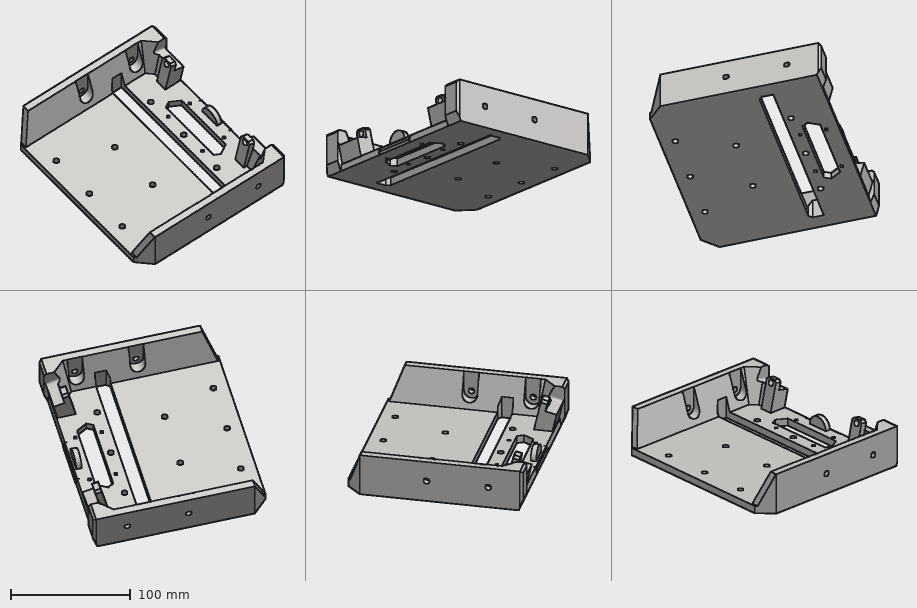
import cadquery as cq
import math

length = 177.8
width = 152.2
height = 36.6
floor_top = 6.8
draft = 20.0
draft_slope = math.tan(math.radians(draft))
front_corner = 12.8
back_corner = 2.1
front_ledge = 1.8
back_slant_height = 8.9

cavity_half_length = 71.3
cavity_back = 134.6
cavity_corner = 5.9

hinge_tilt = 13.0
lug_front = 131.2
lug_spacing = 94.2
lug_length = 11.5
lug_height = 28.8
lug_thickness = 5.5
lug_chamfer = 2.1
lug_hole_diameter = 5.5
lug_hole_height = 24.9
lug_root = 2.7
ledge_height = 20.0
ledge_half_length = 72.0
ledge_fillet = 2.1
hinge_depth = 15.5

strip_back = 148.0
tab_half_length = 20.1
tab_edge_front = 146.2
tab_bend = (149.0, 5.2)
tab_tip = (149.9, 2.3)

disc_radius = 10.0
disc_thickness = 4.8

slot_half_length = 76.0
slot_front = 94.6
slot_back = 107.2
slot_corner = 2.8
window_front = 120.0
window_back = 134.8
window_tip = 35.2
window_tip_y = 125.3
window_end_angle = 30.0

screw_diameter = 5.0
small_diameter = 2.7
screw_points = [(x, y) for x in (-44.5, 0, 44.5) for y in (13.0, 113.6)]
screw_points += [(x, 60.3) for x in (-25.5, 25.5)]
small_points = [(x, y) for x in (-23.1, 23.1) for y in (115.4, 138.2)]

side_screw_y = (69.9, 122.9)
side_screw_height = 18.7
pocket_diameter = 13.0
pocket_face = 82.3

margin = 17.8

hinge_lean = math.radians(hinge_tilt)
lean_sin = math.sin(hinge_lean)
lean_cos = math.cos(hinge_lean)
hinge_origin = (0, lug_front, floor_top)
hinge_plane = cq.Plane(hinge_origin, (1, 0, 0), (0, lean_sin, lean_cos))
hinge_face_plane = cq.Plane(hinge_origin, (1, 0, 0), (0, -lean_cos, lean_sin))

edge_front = lug_front + hinge_depth / lean_cos
back_bottom = width - back_slant_height * draft_slope


def along_x(outline, start, end):
    """Extrude a closed (Y, Z) outline from one X position to another."""
    return cq.Workplane("YZ", origin=(start, 0, 0)).polyline(outline).close().extrude(end - start)


def make_block():
    """Outer shape: plan outline with cut corners, trimmed to the side profile."""
    half = length / 2
    plan = [
        (-half + front_corner, 0), (half - front_corner, 0), (half, front_corner),
        (half, width - back_corner), (half - back_corner, width),
        (-half + back_corner, width), (-half, width - back_corner), (-half, front_corner),
    ]
    wall_front_top = front_ledge + (height - floor_top) * draft_slope
    profile = [
        (0, 0), (0, floor_top), (front_ledge, floor_top), (wall_front_top, height),
        (width - back_corner, height), (width, height - back_corner),
        (width, back_slant_height), (back_bottom, 0),
    ]
    block = cq.Workplane("XY").polyline(plan).close().extrude(height)
    return block.intersect(along_x(profile, -half, half))


def cavity_outline(spread):
    """Cavity outline with every wall moved outward by the given distance."""
    x = cavity_half_length + spread
    back = cavity_back + spread
    corner = cavity_corner + (2 - math.sqrt(2)) * spread
    return [
        (-x, -margin), (x, -margin), (x, back - corner), (x - corner, back),
        (corner - x, back), (-x, back - corner),
    ]


def make_cavity():
    """Drafted space between the walls, open at the front."""
    rise = height - floor_top
    return (
        cq.Workplane("XY", origin=(0, 0, floor_top))
        .polyline(cavity_outline(0)).close()
        .workplane(offset=rise)
        .polyline(cavity_outline(rise * draft_slope)).close()
        .loft(ruled=True)
    )


def make_ledge_cut():
    """Opening above the tilted ledge of the back wall, rounded where it meets the side walls."""
    section = (
        cq.Sketch()
        .rect(2 * ledge_half_length, 2 * height)
        .vertices().fillet(ledge_fillet)
    )
    return (
        cq.Workplane(hinge_face_plane).workplane(offset=-hinge_depth - margin)
        .center(0, ledge_height + height)
        .placeSketch(section).extrude(2 * margin)
    )


def make_gap():
    """Gap in the back wall between the inner sides of the lugs, down to the floor."""
    return (
        cq.Workplane("XY", origin=(0, lug_front, floor_top))
        .rect(lug_spacing, 4 * margin).extrude(height)
    )


def recess_outline(strip_front, steep_face):
    """Recess outline around the rear edge of the floor, whose tilted strip begins at strip_front."""
    lean = math.tan(hinge_lean)
    strip_end = (strip_back, floor_top - (strip_back - strip_front) * lean)
    face_top = strip_front + (height - floor_top) * lean
    outside = width + margin
    behind = [(back_bottom, 0), (back_bottom, -margin), (outside, -margin), (outside, height)]
    return [(face_top, height), (strip_front, floor_top), strip_end] + steep_face + behind


def make_recess():
    """Tilted recess behind the hinges, leaving a wider edge in the middle of the floor."""
    side = recess_outline(edge_front, [])
    middle = recess_outline(tab_edge_front, [tab_bend, tab_tip])
    recess = along_x(middle, -tab_half_length, tab_half_length)
    recess = recess.union(along_x(side, -ledge_half_length, -tab_half_length))
    return recess.union(along_x(side, tab_half_length, ledge_half_length))


def make_lug(x):
    """Leaning hinge lug: a foot under the ledge and a bored upright with cut corners."""
    root = cq.Workplane(hinge_plane).workplane(offset=-lug_root).center(x, 0)
    foot = (
        root.center(0, hinge_depth / 2)
        .rect(lug_length, hinge_depth).extrude(lug_root + ledge_height)
    )
    half = lug_length / 2
    shoulder = lug_height - lug_chamfer
    upright_outline = [
        (-half, 0), (half, 0), (half, shoulder), (half - lug_chamfer, lug_height),
        (lug_chamfer - half, lug_height), (-half, shoulder),
    ]
    face = cq.Workplane(hinge_face_plane).center(x, 0)
    upright = face.polyline(upright_outline).close().extrude(-lug_thickness)
    bore = face.center(0, lug_hole_height).circle(lug_hole_diameter / 2).extrude(-hinge_depth)
    return foot.union(upright).cut(bore)


def make_disc():
    """Half disc standing on the floor at the rear edge."""
    disc = (
        cq.Workplane("XZ", origin=(0, tab_edge_front, 0)).center(0, floor_top)
        .moveTo(-disc_radius, 0).threePointArc((0, disc_radius), (disc_radius, 0)).close()
    )
    return disc.extrude(disc_thickness)


def make_floor_slot():
    """Cross slot through the floor that also bites into the foot of the side walls."""
    x = slot_half_length
    outline = [
        (-x, slot_back), (x, slot_back), (x, slot_front + slot_corner), (x - slot_corner, slot_front),
        (slot_corner - x, slot_front), (-x, slot_front + slot_corner),
    ]
    return cq.Workplane("XY").polyline(outline).close().extrude(height)


def make_window():
    """Window with pointed ends through the rear of the floor."""
    window_slope = math.tan(math.radians(window_end_angle))
    front_x = window_tip - (window_tip_y - window_front) * window_slope
    back_x = window_tip - (window_back - window_tip_y) * window_slope
    outline = [
        (front_x, window_front), (window_tip, window_tip_y), (back_x, window_back),
        (-back_x, window_back), (-window_tip, window_tip_y), (-front_x, window_front),
    ]
    return cq.Workplane("XY").polyline(outline).close().extrude(floor_top)


def make_floor_holes(points, diameter):
    """Round holes through the floor."""
    return cq.Workplane("XY").pushPoints(points).circle(diameter / 2).extrude(floor_top)


def make_side_cut(y):
    """Screw hole through both side walls with its U-shaped pockets on the inside."""
    axis = cq.Workplane("YZ").center(y, side_screw_height)
    hole = axis.circle(screw_diameter / 2).extrude(length, both=True)
    pocket = axis.circle(pocket_diameter / 2).extrude(pocket_face, both=True)
    channel = (
        axis.center(0, height / 2).rect(pocket_diameter, height).extrude(pocket_face, both=True)
    )
    return hole.union(pocket).union(channel)


result = make_block().cut(make_cavity()).cut(make_ledge_cut()).cut(make_gap()).cut(make_recess())
lug_offset = (lug_spacing + lug_length) / 2
for side in (-1, 1):
    result = result.union(make_lug(side * lug_offset))
result = result.union(make_disc())
for y in side_screw_y:
    result = result.cut(make_side_cut(y))
result = result.cut(make_floor_slot()).cut(make_window())
result = result.cut(make_floor_holes(screw_points, screw_diameter))
result = result.cut(make_floor_holes(small_points, small_diameter))